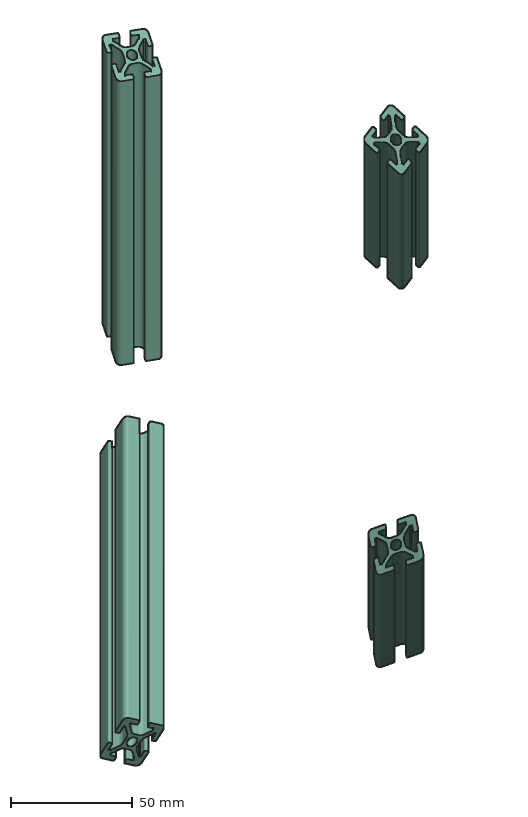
import cadquery as cq
import math

length = 144.3
width = 20.0
corner_radius = 2.0
lip_radius = 0.6
bore_diameter = 4.3

slot_opening = 4.9
lip_thickness = 2.2
cavity_width = 11.4
cavity_side_height = 0.9
floor_distance = 3.6
floor_blend_radius = 2.9

miter_angle = 30.0
small_hole_diameter = 1.0
front_hole_offset = 2.0
left_hole_offset = 34.3

half_width = width / 2
half_length = length / 2
select_margin = 0.6
miter_drop = width * math.tan(math.radians(miter_angle))


def base_plane():
    """Horizontal plane at the lowest point of the part."""
    return cq.Workplane("XY", origin=(0, 0, -half_length))


def make_slot():
    """T-slot open toward +Y, with 45 degree flanks blended into its floor."""
    half_opening = slot_opening / 2
    half_cavity = cavity_width / 2
    lip_inner = half_width - lip_thickness
    flank_top = lip_inner - cavity_side_height
    half_floor = half_cavity - (flank_top - floor_distance)
    outline = [
        (half_opening, half_width),
        (half_opening, lip_inner),
        (half_cavity, lip_inner),
        (half_cavity, flank_top),
        (half_floor, floor_distance),
    ]
    mirrored = [(-x, y) for x, y in reversed(outline)]
    slot = base_plane().polyline(outline + mirrored).close().extrude(length)
    floor_edges = cq.selectors.BoxSelector(
        (-half_floor - select_margin, floor_distance - select_margin, -length),
        (half_floor + select_margin, floor_distance + select_margin, length),
    )
    return slot.edges("|Z").edges(floor_edges).fillet(floor_blend_radius)


def make_profile():
    """Square bar with a T-slot in each side and a central bore."""
    bar = base_plane().rect(width, width).extrude(length).edges("|Z").fillet(corner_radius)
    slot = make_slot()
    for angle in (0, 90, 180, 270):
        bar = bar.cut(slot.rotate((0, 0, 0), (0, 0, 1), angle))

    lip_reach = lip_thickness + select_margin
    half_mouth = slot_opening / 2 + select_margin
    for sign_x, sign_y in ((1, 0), (-1, 0), (0, 1), (0, -1)):
        center_x = sign_x * half_width
        center_y = sign_y * half_width
        reach_x = lip_reach if sign_x else half_mouth
        reach_y = lip_reach if sign_y else half_mouth
        lip_edges = cq.selectors.BoxSelector(
            (center_x - reach_x, center_y - reach_y, -length),
            (center_x + reach_x, center_y + reach_y, length),
        )
        bar = bar.edges("|Z").edges(lip_edges).fillet(lip_radius)
    return bar.cut(base_plane().circle(bore_diameter / 2).extrude(length))


def make_miter_envelope():
    """Parallelogram block whose top and bottom slope down toward +X."""
    outline = [
        (-half_width, half_length),
        (half_width, half_length - miter_drop),
        (half_width, -half_length),
        (-half_width, miter_drop - half_length),
    ]
    return cq.Workplane("XZ").polyline(outline).close().extrude(half_width, both=True)


def make_holes(plane, direction, offset):
    """Pair of small holes running from one slot into the central bore."""
    return (
        cq.Workplane(plane)
        .pushPoints([(0, offset), (0, -offset)])
        .circle(small_hole_diameter / 2)
        .extrude(direction * half_width)
    )


result = make_profile().intersect(make_miter_envelope())
result = result.cut(make_holes("XZ", 1, front_hole_offset))
result = result.cut(make_holes("YZ", -1, left_hole_offset))